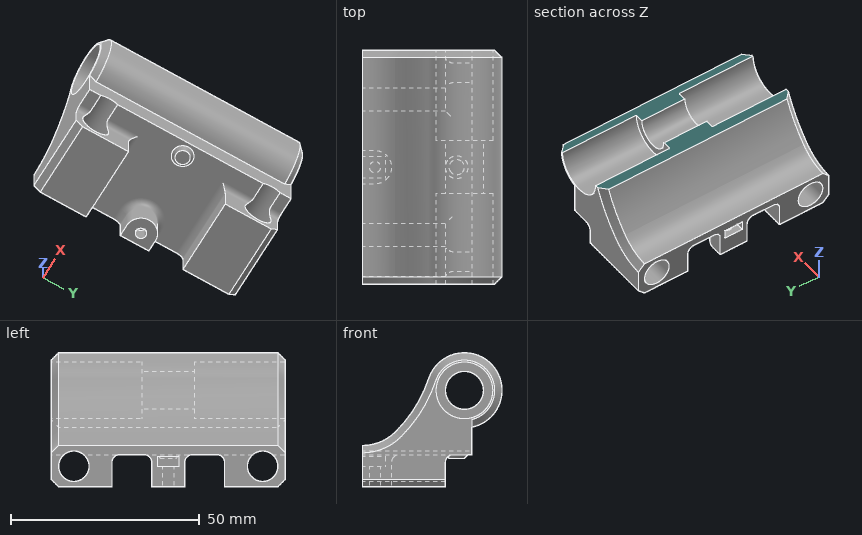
import cadquery as cq
import math

length = 62.0
edge_chamfer = 2.0
foot_depth = 22.0
wall_x = 29.0
roof_z = 8.5
roof_fillet = 2.0
front_z = 11.0

barrel_x = 27.05
barrel_z = 25.55
barrel_radius = 10.0
bearing_diameter = 15.0
bearing_depth = 24.0
shaft_diameter = 10.0

sweep_joint = (8.75, 14.6)
barrel_joint = (17.6, 28.9)

foot_inner_y = 14.9
tab_width = 8.8
tab_axis_x = 3.35
foot_hole_diameter = 8.0
foot_hole_y = 25.0
foot_hole_z = 5.45

nut_width = 5.6
nut_height = 2.7
nut_floor_z = 5.35
nut_depth = tab_axis_x + nut_width / 2
screw_diameter = 3.0

boss_x = 25.0
boss_diameter = 6.0
boss_height = 1.0


def block(x_size, y_min, y_max, z_size):
    """Box standing on Z = 0 with its front face on X = 0."""
    return cq.Workplane("XY").box(x_size, y_max - y_min, z_size, centered=False).translate((0, y_min, 0))


def y_cylinder(diameter, y_start, depth):
    """Cylinder on the barrel axis, running toward +Y."""
    return (
        cq.Workplane("XZ", origin=(barrel_x, y_start, barrel_z))
        .circle(diameter / 2)
        .extrude(-depth)
    )


def make_upper_body():
    """Swept front, barrel and rear wall, all above the roof."""
    wall_top_z = barrel_z - (barrel_radius**2 - (wall_x - barrel_x) ** 2) ** 0.5
    sweep_x = sweep_joint[0]
    sweep_rise = sweep_joint[1] - front_z
    sweep_radius = (sweep_x**2 + sweep_rise**2) / (2 * sweep_rise)
    half_angle = math.atan2(sweep_rise, sweep_x)
    sweep_middle = (
        sweep_radius * math.sin(half_angle),
        front_z + sweep_radius * (1 - math.cos(half_angle)),
    )
    return (
        cq.Workplane("XZ", origin=(0, length / 2, 0))
        .moveTo(wall_x, wall_top_z)
        .lineTo(wall_x, roof_z)
        .lineTo(0, roof_z)
        .lineTo(0, front_z)
        .threePointArc(sweep_middle, sweep_joint)
        .tangentArcPoint(barrel_joint, relative=False)
        .threePointArc((barrel_x + barrel_radius, barrel_z), (wall_x, wall_top_z))
        .close()
        .extrude(length)
    )


def make_tab():
    """Centre tab with a half-round rear end."""
    half_width = tab_width / 2
    return (
        cq.Workplane("XY")
        .moveTo(0, -half_width)
        .lineTo(tab_axis_x, -half_width)
        .threePointArc((tab_axis_x + half_width, 0), (tab_axis_x, half_width))
        .lineTo(0, half_width)
        .close()
        .extrude(roof_z)
    )


body = make_upper_body().union(make_tab())
body = body.union(block(foot_depth, foot_inner_y, length / 2, roof_z))
body = body.union(block(foot_depth, -length / 2, -foot_inner_y, roof_z))

margin = 0.05
roof_corners = cq.selectors.BoxSelector(
    (margin, margin - length / 2, roof_z - margin),
    (wall_x - margin, length / 2 - margin, roof_z + margin),
)
body = body.edges(roof_corners).fillet(roof_fillet)

bevel_edges = []
for edge in body.faces("<Y or >Y").edges().vals():
    centre = edge.Center()
    on_bottom = centre.z < margin
    on_top = edge.geomType() == "CIRCLE" and centre.z > front_z
    if on_bottom or on_top:
        bevel_edges.append(edge)
body = body.newObject(bevel_edges).chamfer(edge_chamfer)

body = body.cut(y_cylinder(shaft_diameter, -length / 2, length))
body = body.cut(y_cylinder(bearing_diameter, -length / 2, bearing_depth))
body = body.cut(y_cylinder(bearing_diameter, length / 2 - bearing_depth, bearing_depth))

foot_holes = (
    cq.Workplane("YZ")
    .pushPoints([(-foot_hole_y, foot_hole_z), (foot_hole_y, foot_hole_z)])
    .circle(foot_hole_diameter / 2)
    .extrude(wall_x)
)
body = body.cut(foot_holes)

nut_pocket = block(nut_depth, -nut_width / 2, nut_width / 2, nut_height).translate((0, 0, nut_floor_z))
screw_hole = cq.Workplane("XY").center(tab_axis_x, 0).circle(screw_diameter / 2).extrude(nut_floor_z)
body = body.cut(nut_pocket).cut(screw_hole)

boss = (
    cq.Workplane("XY", origin=(boss_x, 0, roof_z))
    .circle(boss_diameter / 2)
    .workplane(offset=-boss_height)
    .circle(boss_diameter / 2 - boss_height)
    .loft()
)
result = body.union(boss)